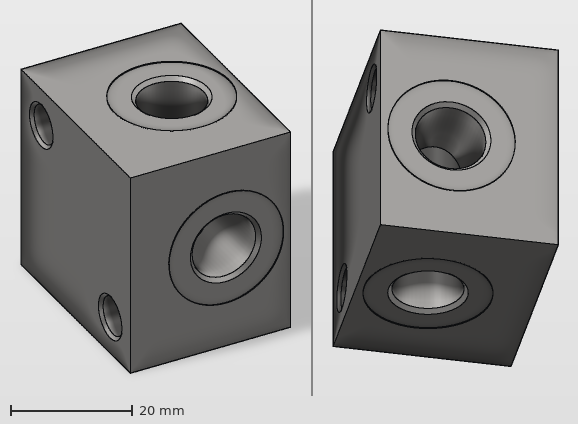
import cadquery as cq

side = 38.1
depth = 30.0

port_from_back = 12.0
port_diameter = 11.9
port_rim_diameter = 13.3
spotface_diameter = 21.45
spotface_depth = 0.2

mount_spacing = 24.0
mount_diameter = 7.0
mount_rim_diameter = 8.15

port_y = depth / 2 - port_from_back


def chamfered_bore(length, diameter, rim_diameter):
    """Cutter along Z, centred on the origin, with a 45 degree chamfer at both ends."""
    chamfer = (rim_diameter - diameter) / 2
    return (
        cq.Workplane("XZ")
        .moveTo(0, -length / 2)
        .lineTo(rim_diameter / 2, -length / 2)
        .lineTo(diameter / 2, -length / 2 + chamfer)
        .lineTo(diameter / 2, length / 2 - chamfer)
        .lineTo(rim_diameter / 2, length / 2)
        .lineTo(0, length / 2)
        .close()
        .revolve(360, (0, 0, 0), (0, 1, 0))
    )


def port_cutter():
    """Through bore along Z with a shallow spotface at each end."""
    cutter = chamfered_bore(side - 2 * spotface_depth, port_diameter, port_rim_diameter)
    for end in (-1, 1):
        spotface = (
            cq.Workplane("XY")
            .cylinder(spotface_depth, spotface_diameter / 2)
            .translate((0, 0, end * (side - spotface_depth) / 2))
        )
        cutter = cutter.union(spotface)
    return cutter


block = cq.Workplane("XY").box(side, depth, side)

vertical_port = port_cutter().translate((0, port_y, 0))
cross_port = port_cutter().rotate((0, 0, 0), (0, 1, 0), 90).translate((0, port_y, 0))
result = block.cut(vertical_port).cut(cross_port)

mount_hole = chamfered_bore(depth, mount_diameter, mount_rim_diameter).rotate((0, 0, 0), (1, 0, 0), 90)
for end in (-1, 1):
    offset = end * mount_spacing / 2
    result = result.cut(mount_hole.translate((offset, 0, -offset)))